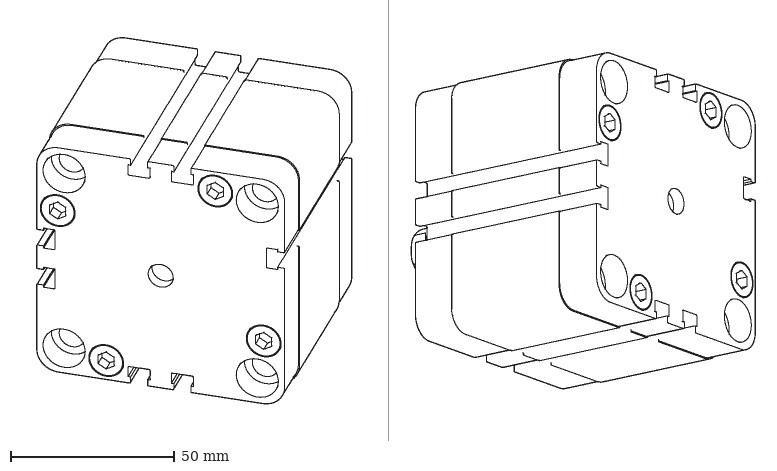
import cadquery as cq
import math

body_width = 80.0
cap_width = 79.4
corner_radius = 7.0
cap_length = 14.2
profile_length = 41.6
overall_length = 97.5

slot_offset = 6.9
single_slot_offset = 12.1
slot_floor = 33.8
slot_ledge = 37.4
slot_wide_width = 7.0
slot_neck_width = 5.5
slot_mouth_radius = 0.4
slot_floor_radius = 0.4

rod_diameter = 16.0
rod_tip_radius = 1.95
rod_flat_width = 13.0
rod_flat_length = 5.6

mount_offset = 30.9
mount_hole_diameter = 8.4
mount_bore_diameter = 13.5
mount_bore_depth = 8.6

screw_near_offset = 17.5
screw_far_offset = 33.0
screw_recess_diameter = 11.1
screw_head_diameter = 10.5
screw_head_height = 5.85
hex_across_flats = 5.2
hex_depth = 4.0

centre_hole_diameter = 8.0
centre_hole_depth = 4.0

body_length = 2 * cap_length + profile_length


def xz_plane(y):
    """Workplane across the axis at the given Y; local x is -X, local y is Z, extrusions go to +Y."""
    return cq.Workplane(cq.Plane(origin=(0, y, 0), xDir=(-1, 0, 0), normal=(0, 1, 0)))


def cylinder(points, diameter, y, length):
    """Round bars along +Y, starting at y, at the given (X, Z) points."""
    local_points = [(-x, z) for x, z in points]
    return xz_plane(y).pushPoints(local_points).circle(diameter / 2).extrude(length)


def slot_cutter(surface, y, length):
    """T-slot opening upward at X = 0, with rounded lips at the mouth and rounded floor corners."""
    neck = slot_neck_width / 2
    wide = slot_wide_width / 2
    mouth = neck + slot_mouth_radius
    lip_bottom = surface - slot_mouth_radius
    lip_arc = slot_mouth_radius * (1 - math.sqrt(0.5))
    floor_half = wide - slot_floor_radius
    wall_bottom = slot_floor + slot_floor_radius
    floor_arc = slot_floor_radius * (1 - math.sqrt(0.5))
    return (
        xz_plane(y)
        .moveTo(-mouth, surface)
        .threePointArc((-neck - lip_arc, surface - lip_arc), (-neck, lip_bottom))
        .lineTo(-neck, slot_ledge)
        .lineTo(-wide, slot_ledge)
        .lineTo(-wide, wall_bottom)
        .threePointArc((-wide + floor_arc, slot_floor + floor_arc), (-floor_half, slot_floor))
        .lineTo(floor_half, slot_floor)
        .threePointArc((wide - floor_arc, slot_floor + floor_arc), (wide, wall_bottom))
        .lineTo(wide, slot_ledge)
        .lineTo(neck, slot_ledge)
        .lineTo(neck, lip_bottom)
        .threePointArc((neck + lip_arc, surface - lip_arc), (mouth, surface))
        .close()
        .extrude(length)
    )


def body_section(width, y, length):
    """Rounded square block with its T-slots: pairs on top, bottom and -X, a single one on +X."""
    block = xz_plane(y).rect(width, width).extrude(length).edges("|Y").fillet(corner_radius)
    slot = slot_cutter(width / 2, y, length)
    face_turns = {
        0: (-slot_offset, slot_offset),
        180: (-slot_offset, slot_offset),
        -90: (-slot_offset, slot_offset),
        90: (-single_slot_offset,),
    }
    for turn, offsets in face_turns.items():
        for offset in offsets:
            placed = slot.translate((offset, 0, 0)).rotate((0, 0, 0), (0, 1, 0), turn)
            block = block.cut(placed)
    return block


def piston_rod():
    """Rod with a rounded tip and two wrench flats that run out at 45 degrees."""
    rod_length = overall_length - body_length
    rod = cylinder([(0, 0)], rod_diameter, body_length, rod_length)
    rod = rod.faces(">Y").edges().fillet(rod_tip_radius)
    flat = rod_flat_width / 2
    outside = rod_diameter
    flat_end = overall_length - rod_flat_length
    runout_end = flat_end - (outside - flat)
    side_cut = (
        cq.Workplane("XY")
        .polyline([
            (flat, overall_length),
            (flat, flat_end),
            (outside, runout_end),
            (outside, overall_length),
        ])
        .close()
        .extrude(rod_diameter, both=True)
    )
    return rod.cut(side_cut).cut(side_cut.mirror("YZ"))


def screw_recesses(points):
    """Clearance ring around each flush screw head, and the hexagon socket in the head."""
    recess = cylinder(points, screw_recess_diameter, 0, screw_head_height)
    heads = cylinder(points, screw_head_diameter, 0, screw_head_height)
    across_corners = hex_across_flats / math.cos(math.pi / 6)
    socket = xz_plane(0).polygon(6, across_corners).extrude(hex_depth)
    socket = socket.rotate((0, 0, 0), (0, 1, 0), 30)
    cutter = recess.cut(heads)
    for x, z in points:
        cutter = cutter.union(socket.translate((x, 0, z)))
    return cutter


mount_points = [(sx * mount_offset, sz * mount_offset) for sx in (-1, 1) for sz in (-1, 1)]
screw_points = [
    (screw_near_offset, screw_far_offset),
    (screw_far_offset, -screw_near_offset),
    (-screw_near_offset, -screw_far_offset),
    (-screw_far_offset, screw_near_offset),
]

result = (
    body_section(cap_width, 0, cap_length)
    .union(body_section(body_width, cap_length, profile_length))
    .union(body_section(cap_width, cap_length + profile_length, cap_length))
    .union(piston_rod())
)

result = (
    result
    .cut(cylinder(mount_points, mount_hole_diameter, 0, body_length))
    .cut(cylinder(mount_points, mount_bore_diameter, 0, mount_bore_depth))
    .cut(cylinder([(0, 0)], centre_hole_diameter, 0, centre_hole_depth))
    .cut(screw_recesses(screw_points))
)